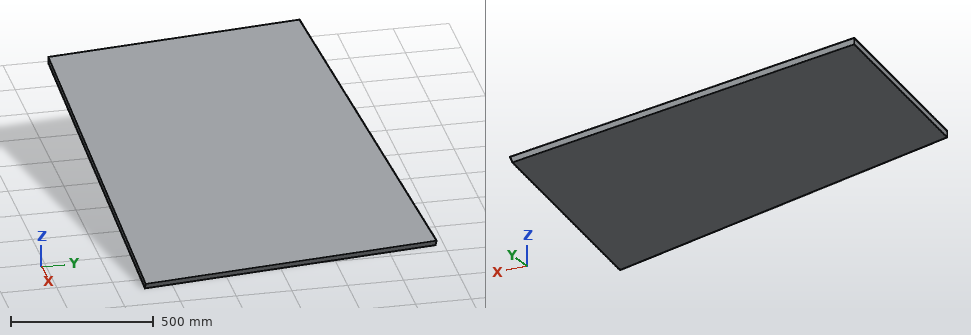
import cadquery as cq
import math

length_x = 1370.0
width_y = 1145.0
height_z = 322.0
left_back_y = 352.0
right_front_y = -499.0
end_skew = 6.7
thickness = 25.0
low_end_undercut = 10.0

skew_slope = math.tan(math.radians(end_skew))
back_y = width_y / 2
front_y = -back_y
right_x = length_x / 2
left_x = -right_x
left_front_x = left_x + skew_slope * (left_back_y - front_y)
right_back_x = right_x - skew_slope * (back_y - right_front_y)
plan_corners = [
    (left_x, left_back_y),
    (left_front_x, front_y),
    (right_x, right_front_y),
    (right_back_x, back_y),
]

skew_cos = math.cos(math.radians(end_skew))
skew_sin = math.sin(math.radians(end_skew))
high_end = left_x * skew_cos + left_back_y * skew_sin
low_end = right_x * skew_cos + right_front_y * skew_sin
low_end_bottom = low_end - low_end_undercut
top_z = height_z / 2
bottom_z = -top_z
fall_per_run = (height_z - thickness) / (low_end_bottom - high_end)
low_top_z = top_z - fall_per_run * (low_end - high_end)
slope_profile = [
    (high_end, top_z),
    (low_end, low_top_z),
    (low_end_bottom, bottom_z),
    (high_end, top_z - thickness),
]


def sloping_slab():
    """Slab with its finished ends, wider than the panel."""
    profile_plane = cq.Plane(
        origin=(0, 0, 0),
        xDir=(skew_cos, skew_sin, 0),
        normal=(skew_sin, -skew_cos, 0),
    )
    return cq.Workplane(profile_plane).polyline(slope_profile).close().extrude(width_y, both=True)


def plan_prism():
    """Upright prism that trims the slab to vertical long sides."""
    outline = cq.Workplane("XY").workplane(offset=bottom_z).polyline(plan_corners).close()
    return outline.extrude(height_z)


result = sloping_slab().intersect(plan_prism())